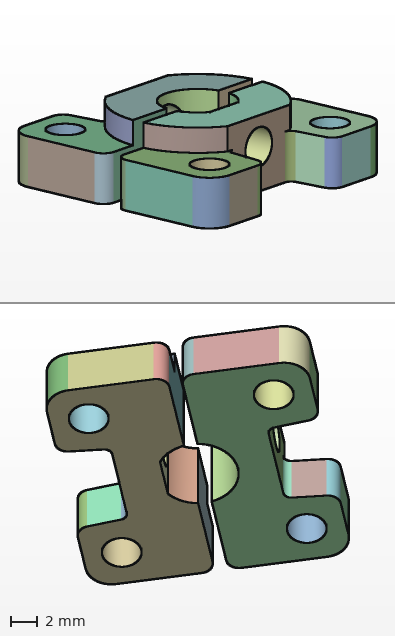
import cadquery as cq
import math

LENGTH_X = 20.15
LENGTH_Y = 20.55
BASE_HEIGHT = 4.0
TOTAL_HEIGHT = 6.0
GAP = 1.03

COLLAR_RADIUS = 7.02
COLLAR_HALF_WIDTH = 6.0
BORE_RADIUS = 3.08
BORE_FLAT_OFFSET = 2.59

MOUNT_HOLE_DIAMETER = 3.0
MOUNT_HOLE_OFFSET = 7.09
NOTCH_SLOPE = math.radians(5.5)

OUTER_CORNER_RADIUS = 2.0
SLIT_CORNER_RADIUS = 1.0
EAR_CORNER_RADIUS = 1.0
NOTCH_ROOT_RADIUS = 0.6

SCREW_HOLE_DIAMETER = 3.12
SCREW_HOLE_HEIGHT = 3.51

HALF_X = LENGTH_X / 2
HALF_Y = LENGTH_Y / 2
SLIT_X = GAP / 2
ROOT_Y = math.sqrt(COLLAR_RADIUS**2 - COLLAR_HALF_WIDTH**2)
EAR_Y = ROOT_Y + (HALF_X - COLLAR_HALF_WIDTH) * math.tan(NOTCH_SLOPE)


def round_corners(body, x, y, radius):
    """Fillet the vertical edges at (x, y) and (x, -y)."""
    for corner_y in (y, -y):
        edge = body.edges(cq.selectors.NearestToPointSelector((x, corner_y, BASE_HEIGHT / 2)))
        body = edge.fillet(radius)
    return body


def make_base():
    """Half base plate on the +X side, with two ears and a notch between them."""
    outline = [
        (SLIT_X, -HALF_Y),
        (HALF_X, -HALF_Y),
        (HALF_X, -EAR_Y),
        (COLLAR_HALF_WIDTH, -ROOT_Y),
        (COLLAR_HALF_WIDTH, ROOT_Y),
        (HALF_X, EAR_Y),
        (HALF_X, HALF_Y),
        (SLIT_X, HALF_Y),
    ]
    base = cq.Workplane("XY").polyline(outline).close().extrude(BASE_HEIGHT)
    base = round_corners(base, SLIT_X, HALF_Y, SLIT_CORNER_RADIUS)
    base = round_corners(base, HALF_X, HALF_Y, OUTER_CORNER_RADIUS)
    base = round_corners(base, HALF_X, EAR_Y, EAR_CORNER_RADIUS)
    return round_corners(base, COLLAR_HALF_WIDTH, ROOT_Y, NOTCH_ROOT_RADIUS)


def make_collar():
    """Half collar on the +X side, cut flat at the slit and on its outer side."""
    disc = cq.Workplane("XY").circle(COLLAR_RADIUS).extrude(TOTAL_HEIGHT)
    slab = (
        cq.Workplane("XY")
        .center((SLIT_X + COLLAR_HALF_WIDTH) / 2, 0)
        .rect(COLLAR_HALF_WIDTH - SLIT_X, 2 * COLLAR_RADIUS)
        .extrude(TOTAL_HEIGHT)
    )
    return disc.intersect(slab)


def make_bore(has_flat):
    """Shaft bore, either round or with a flat on its +X side."""
    bore = cq.Workplane("XY").circle(BORE_RADIUS).extrude(TOTAL_HEIGHT)
    if has_flat:
        keep = (
            cq.Workplane("XY")
            .center(BORE_FLAT_OFFSET - BORE_RADIUS, 0)
            .rect(2 * BORE_RADIUS, 2 * BORE_RADIUS)
            .extrude(TOTAL_HEIGHT)
        )
        bore = bore.intersect(keep)
    return bore


def make_half(has_flat):
    """Complete clamp half on the +X side of the slit."""
    mount_holes = (
        cq.Workplane("XY")
        .pushPoints([(MOUNT_HOLE_OFFSET, y) for y in (-MOUNT_HOLE_OFFSET, MOUNT_HOLE_OFFSET)])
        .circle(MOUNT_HOLE_DIAMETER / 2)
        .extrude(BASE_HEIGHT)
    )
    screw_hole = (
        cq.Workplane("YZ")
        .center(0, SCREW_HOLE_HEIGHT)
        .circle(SCREW_HOLE_DIAMETER / 2)
        .extrude(HALF_X)
    )
    half = make_base().union(make_collar())
    return half.cut(make_bore(has_flat)).cut(mount_holes).cut(screw_hole)


round_half = make_half(has_flat=False).rotate((0, 0, 0), (0, 0, 1), 180)
flat_half = make_half(has_flat=True)

result = cq.Compound.makeCompound([round_half.solids().val(), flat_half.solids().val()])